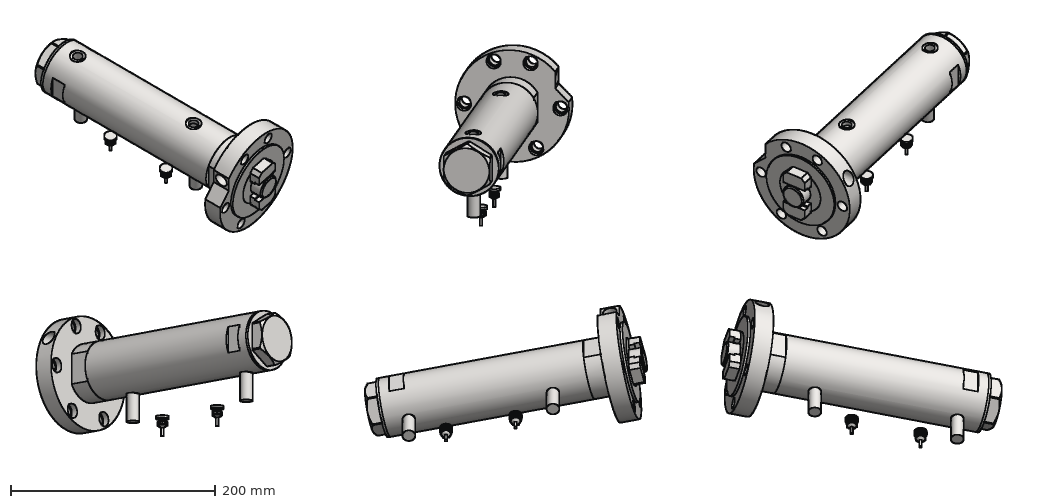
import cadquery as cq
import math


cap_collar_x = 12.7
barrel_start_x = 15.2
cap_stub_end_x = 38.5
guide_start_x = 182.5
guide_nose_end_x = 187.8
barrel_end_x = 220.5
flange_start_x = 241.0
flange_end_x = 260.2
pilot_end_x = 262.7
lug_end_x = 273.7
rod_end_x = 276.2

barrel_radius = 29.5
bore_radius = 24.0
wrench_flat_start_x = 25.5
wrench_flat_end_x = 40.3
wrench_flat_y = 26.5

port_xs = (35.4, 181.2)
port_radius = 5.0
port_seat_radius = 7.7
port_seat_z = math.sqrt(barrel_radius**2 - port_seat_radius**2)

hex_across_flats = 46.0
hex_turned_radius = 26.2
hex_face_radius = 22.6
hex_chamfer_length = 2.8
cap_stub_radius = 15.7

neck_flat_y = 25.5
flange_radius = 57.0
pilot_radius = 40.0
bolt_circle_radius = 48.0
bolt_angles = (-150, -90, -22.5, 22.5, 90, 150)
bolt_hole_radius = 5.5
bolt_seat_radius = 7.2
bolt_seat_depth = 6.5
notch_y = -43.0
notch_z = 20.2
cross_hole_radius = 7.0
cross_hole_z = 28.7
cross_hole_x = (flange_start_x + flange_end_x) / 2

guide_nose_radius = 22.0
lug_width = 25.5
lug_height = 52.5
lug_chamfer = 4.1
slot_half_height = 10.5
slot_step_x = 268.5

rod_radius = 12.2
rod_chamfer = 1.5
piston_length = 27.5

pipe_xs = (39.2, 184.0)
pipe_radius = 6.4
pipe_top_z = -math.sqrt(barrel_radius**2 - pipe_radius**2)
pipe_bottom_z = -flange_radius

stud_xs = (76.5, 146.5)
stud_top_z = -flange_radius
stud_bottom_z = -76.8
stud_head_radius = 6.4
stud_head_thickness = 2.5
stud_collar_radius = 4.7
stud_neck_radius = 4.0
stud_neck_start_z = -60.8
stud_neck_end_z = -62.0
stud_collar_z = -62.7
stud_hex_top_z = -63.5
stud_hex_bottom_z = -65.5
stud_hex_corner_radius = 5.8
stud_hex_turn = 10
stud_cone_start_z = -66.3
stud_stem_radius = 1.5
stud_stem_top_z = -68.5


def x_cylinder(start_x, end_x, radius):
    """Cylinder on the X axis between two stations."""
    return cq.Workplane("YZ", origin=(start_x, 0, 0)).circle(radius).extrude(end_x - start_x)


def z_cylinder(x, bottom_z, top_z, radius):
    """Upright cylinder at one station of the axis."""
    return cq.Workplane("XY", origin=(x, 0, bottom_z)).circle(radius).extrude(top_z - bottom_z)


def box_between(x_range, y_range, z_range):
    """Box from its limits on each axis."""
    (x0, x1), (y0, y1), (z0, z1) = x_range, y_range, z_range
    return cq.Workplane("XY").box(x1 - x0, y1 - y0, z1 - z0, centered=False).translate((x0, y0, z0))


def cut_side_flats(body, start_x, end_x, flat_y):
    """Mill parallel flats on the +Y and -Y sides of a barrel-sized cylinder."""
    for low_y, high_y in ((flat_y, barrel_radius), (-barrel_radius, -flat_y)):
        body = body.cut(
            box_between((start_x, end_x), (low_y, high_y), (-barrel_radius, barrel_radius))
        )
    return body


def make_cap():
    """Hex cap with chamfered corners, a round collar and a stub inside the bore."""
    hexagon = (
        cq.Workplane("YZ")
        .polygon(6, hex_across_flats / math.cos(math.radians(30)))
        .extrude(cap_collar_x)
        .rotate((0, 0, 0), (1, 0, 0), 90)
    )
    turned_blank = (
        cq.Workplane("XY")
        .polyline(
            [
                (0, 0),
                (0, hex_face_radius),
                (hex_chamfer_length, hex_turned_radius),
                (cap_collar_x, hex_turned_radius),
                (cap_collar_x, 0),
            ]
        )
        .close()
        .revolve(360, (0, 0, 0), (1, 0, 0))
    )
    collar = x_cylinder(cap_collar_x, barrel_start_x, barrel_radius)
    stub = x_cylinder(barrel_start_x, cap_stub_end_x, cap_stub_radius)
    return hexagon.intersect(turned_blank).union(collar).union(stub)


def make_barrel():
    """Tube with wrench flats, two seated ports on top and two pipe holes below."""
    tube = x_cylinder(barrel_start_x, barrel_end_x, barrel_radius)
    tube = tube.cut(x_cylinder(barrel_start_x, cap_stub_end_x, cap_stub_radius))
    tube = tube.cut(x_cylinder(cap_stub_end_x, barrel_end_x, bore_radius))
    tube = cut_side_flats(tube, wrench_flat_start_x, wrench_flat_end_x, wrench_flat_y)
    for x in port_xs:
        tube = tube.cut(z_cylinder(x, port_seat_z, barrel_radius, port_seat_radius))
        tube = tube.cut(z_cylinder(x, 0, barrel_radius, port_radius))
    for x in pipe_xs:
        tube = tube.cut(z_cylinder(x, -barrel_radius, pipe_top_z, pipe_radius))
    return tube


def make_head():
    """Flatted neck, notched bolt flange and pilot ring, bored for the guide."""
    neck = x_cylinder(barrel_end_x, flange_start_x, barrel_radius)
    neck = cut_side_flats(neck, barrel_end_x, flange_start_x, neck_flat_y)
    flange = x_cylinder(flange_start_x, flange_end_x, flange_radius)
    pilot = x_cylinder(flange_end_x, pilot_end_x, pilot_radius)
    head = neck.union(flange).union(pilot)
    head = head.cut(x_cylinder(barrel_end_x, pilot_end_x, bore_radius))

    notch_reach = flange_radius + notch_y
    outer_y = notch_y - 2 * notch_reach
    notch = (
        cq.Workplane("YZ", origin=(flange_start_x, 0, 0))
        .polyline(
            [
                (notch_y, flange_radius),
                (notch_y, notch_z),
                (outer_y, notch_z + outer_y - notch_y),
                (outer_y, flange_radius),
            ]
        )
        .close()
        .extrude(flange_end_x - flange_start_x)
    )
    head = head.cut(notch)

    cross_hole = (
        cq.Workplane("XZ", origin=(cross_hole_x, 0, cross_hole_z))
        .circle(cross_hole_radius)
        .extrude(flange_radius, both=True)
    )
    head = head.cut(cross_hole)

    for angle in bolt_angles:
        y = bolt_circle_radius * math.sin(math.radians(angle))
        z = bolt_circle_radius * math.cos(math.radians(angle))
        hole = x_cylinder(flange_start_x, flange_end_x, bolt_hole_radius)
        seat = x_cylinder(flange_start_x, flange_start_x + bolt_seat_depth, bolt_seat_radius)
        head = head.cut(hole.union(seat).translate((0, y, z)))
    return head


def make_guide():
    """Round guide for the rod with a reduced nose, ending in a chamfered lug with a stepped slot."""
    nose = x_cylinder(guide_start_x, guide_nose_end_x, guide_nose_radius)
    shank = x_cylinder(guide_nose_end_x, pilot_end_x, bore_radius).union(nose)
    shank = shank.cut(x_cylinder(guide_start_x, pilot_end_x, rod_radius))
    lug = (
        cq.Workplane("YZ", origin=(pilot_end_x, 0, 0))
        .rect(lug_width, lug_height)
        .extrude(lug_end_x - pilot_end_x)
        .edges("|X")
        .chamfer(lug_chamfer)
    )
    slot_y = (-lug_width / 2, lug_width / 2)
    narrow_slot = box_between(
        (pilot_end_x, lug_end_x), slot_y, (-slot_half_height, slot_half_height)
    )
    wide_slot = box_between((slot_step_x, lug_end_x), slot_y, (-rod_radius, rod_radius))
    rod_clearance = x_cylinder(pilot_end_x, lug_end_x, rod_radius)
    lug = lug.cut(narrow_slot).cut(wide_slot).cut(rod_clearance)
    return shank.union(lug)


def make_piston_rod():
    """Piston against the cap stub, with a rod that passes through the guide."""
    piston = x_cylinder(cap_stub_end_x, cap_stub_end_x + piston_length, bore_radius)
    rod = x_cylinder(cap_stub_end_x, rod_end_x, rod_radius).faces(">X").chamfer(rod_chamfer)
    return piston.union(rod)


def make_pipe(x):
    """Plain round pipe seated in the underside of the barrel."""
    return z_cylinder(x, pipe_bottom_z, pipe_top_z, pipe_radius)


def make_stud(x):
    """Stud with a flat head, a grooved neck, a hexagon and a thin stem."""
    head_bottom_z = stud_top_z - stud_head_thickness
    profile = [
        (0, stud_top_z),
        (stud_head_radius, stud_top_z),
        (stud_head_radius, head_bottom_z),
        (stud_collar_radius, head_bottom_z),
        (stud_neck_radius, stud_neck_start_z),
        (stud_neck_radius, stud_neck_end_z),
        (stud_collar_radius, stud_collar_z),
        (stud_collar_radius, stud_cone_start_z),
        (stud_stem_radius, stud_stem_top_z),
        (stud_stem_radius, stud_bottom_z),
        (0, stud_bottom_z),
    ]
    turned = cq.Workplane("XZ").polyline(profile).close().revolve(360, (0, 0, 0), (0, 1, 0))
    hexagon = (
        cq.Workplane("XY", origin=(0, 0, stud_hex_bottom_z))
        .polygon(6, 2 * stud_hex_corner_radius)
        .extrude(stud_hex_top_z - stud_hex_bottom_z)
        .rotate((0, 0, 0), (0, 0, 1), stud_hex_turn)
    )
    return turned.union(hexagon).translate((x, 0, 0))


cap = make_cap()
barrel = make_barrel()
head = make_head()
guide = make_guide()
piston_rod = make_piston_rod()
pipes = [make_pipe(x) for x in pipe_xs]
studs = [make_stud(x) for x in stud_xs]

bodies = [cap, barrel, head, guide, piston_rod, *pipes, *studs]
result = cq.Compound.makeCompound([body.val() for body in bodies])